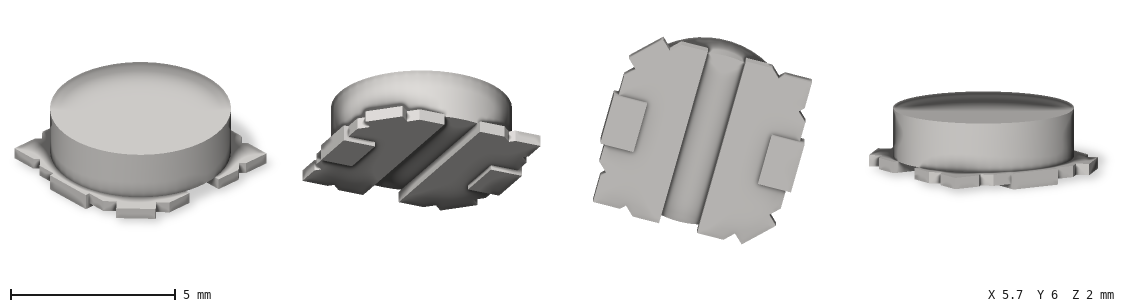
import cadquery as cq
import math

total_height = 2.0
total_length = 6.0
base_side = 5.7

body_diameter = 5.5
body_height = 1.5

clip_thickness = 0.15
base_thickness = total_height - body_height - clip_thickness
base_top = clip_thickness + base_thickness
corner_chamfer = 1.42
centre_gap = 1.2

tab_width = 1.2
pointed_tab_reach = 2.71

clip_width = 1.6
clip_foot_length = 1.045

half_side = base_side / 2
tab_offset = tab_width / math.sqrt(2)


def extrude_base(outline):
    """Raise a closed outline through the base plate thickness."""
    return cq.Workplane("XY").workplane(offset=clip_thickness).polyline(outline).close().extrude(base_thickness)


def make_plate():
    """Square plate with chamfered corners."""
    plate = cq.Workplane("XY").box(base_side, base_side, base_thickness, centered=(True, True, False))
    return plate.edges("|Z").chamfer(corner_chamfer).translate((0, 0, clip_thickness))


def make_square_ended_tab(side):
    """Diagonal tab whose outer corners reach the sides of the base square; side is the sign of X."""
    near = half_side - tab_offset
    outline = [(0, tab_offset), (near, half_side), (half_side, near), (tab_offset, 0)]
    return extrude_base([(side * x, -side * y) for x, y in outline])


def make_pointed_tab(side):
    """Diagonal tab ending in a right-angled point; side is the sign of X."""
    reach = pointed_tab_reach
    near = reach - tab_offset
    outline = [(0, tab_offset), (near, reach), (reach, reach), (reach, near), (tab_offset, 0)]
    return extrude_base([(side * x, side * y) for x, y in outline])


def make_clip(side):
    """Clip wrapping the end face and the underside of the base; side is the sign of Y."""
    end = total_length / 2
    inner = end - clip_foot_length
    wall_inner = half_side
    profile = [
        (inner, 0),
        (end, 0),
        (end, base_top),
        (wall_inner, base_top),
        (wall_inner, clip_thickness),
        (inner, clip_thickness),
    ]
    points = [(side * y, z) for y, z in profile]
    return cq.Workplane("YZ").polyline(points).close().extrude(clip_width / 2, both=True)


base = make_plate()
for side in (-1, 1):
    base = base.union(make_square_ended_tab(side)).union(make_pointed_tab(side))

gap_cutter = cq.Workplane("XY").box(base_side, centre_gap, base_top, centered=(True, True, False))
base = base.cut(gap_cutter)

body = cq.Workplane("XY").workplane(offset=base_top).circle(body_diameter / 2).extrude(body_height)

result = body.union(base)
for side in (-1, 1):
    result = result.union(make_clip(side))